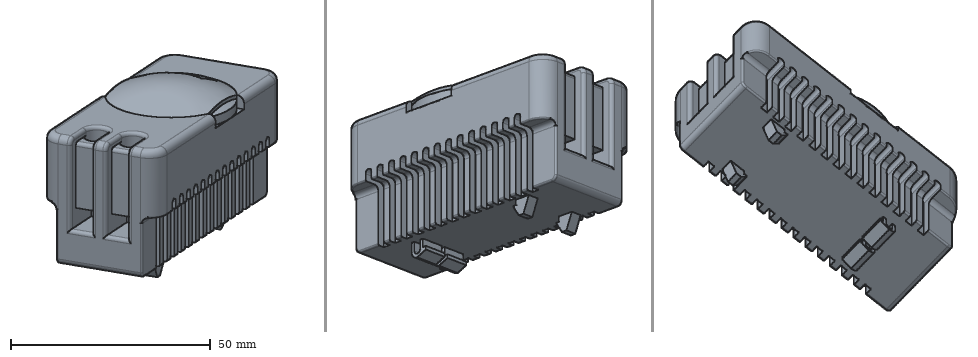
import cadquery as cq
import math

overlap = 1.0

length = 70.0
upper_width = 33.0
lower_width = 24.0
top_z = 34.0
shoulder_z = 16.0
corner_radius = 5.0
top_round = 2.0
shoulder_edge_round = 0.4
shoulder_fillet = 1.4
lower_edge_round = 0.5
end_bottom_round = 1.5

wheel_y = 5.0
wheel_radius = 16.5
dome_height = 4.0
cover_thickness = 1.0
wheel_bottom_z = 30.5
cover_half_width = 14.5
dome_radius = (wheel_radius**2 + dome_height**2) / (2 * dome_height)
dome_top_z = top_z + dome_height

window_inner_radius = 9.0
window_outer_radius = 13.6
window_half_angle = 30.5
pointer_width = 1.0
pointer_length = 0.5

slot_spacing = 10.0
slot_width = 6.0
slot_xs = (-slot_spacing / 2, slot_spacing / 2)
slot_floor_z = 9.7
slot_centre_y = -26.5
slot_mouth_round = 1.0
terminal_front_y = -32.0
terminal_bottom_z = 14.6
terminal_top_z = 32.0
terminal_round = 1.0

vent_count = 14
vent_pitch = 4.0
vent_width = 2.0
vent_top_z = 19.0
vent_depth = 2.0

clip_depth = 4.5
spring_inner_x = 0.5
spring_outer_x = 7.25
hook_inner_x = 6.1
hook_outer_x = 9.3
spring_y = 18.0
spring_outer_radius = 2.0
spring_inner_radius = 1.0
spring_barb_reach = 1.0
spring_barb_top_z = -2.25
spring_barb_bottom_z = -3.25
hook_root_y = -23.0
hook_toe_back_y = -21.1
hook_toe_front_y = -19.5
hook_shank_y = -18.5
hook_barb_y = -17.6
hook_barb_top_z = -1.45
hook_barb_bottom_z = -1.7


def block(x0, x1, y0, y1, z0, z1):
    """Box between two opposite corners."""
    return cq.Workplane("XY").box(x1 - x0, y1 - y0, z1 - z0, centered=False).translate((x0, y0, z0))


def rounded_plan(z0, z1):
    """Upper outline with its four round corners."""
    plan = cq.Workplane("XY").workplane(offset=z0).rect(upper_width, length).extrude(z1 - z0)
    return plan.edges("|Z").fillet(corner_radius)


def make_upper():
    upper = rounded_plan(shoulder_z, top_z)
    return upper.faces(">Z").edges().fillet(top_round).faces("<Z").edges().fillet(shoulder_edge_round)


def make_lower():
    half = lower_width / 2
    lower = block(-half, half, -length / 2, length / 2, 0, shoulder_z + overlap)
    lower = lower.faces("<Z").edges("|X").fillet(end_bottom_round)
    return lower.faces(">X or <X").edges("not >Z").fillet(lower_edge_round)


def make_shoulder_fillet(side):
    """Concave strip between the lower wall and the shoulder, on side -1 or +1."""
    wall = lower_width / 2
    r = shoulder_fillet
    mid = r * (1 - math.sqrt(0.5))
    strip = (
        cq.Workplane("XZ")
        .moveTo(side * (wall - lower_edge_round), shoulder_z - r)
        .lineTo(side * wall, shoulder_z - r)
        .threePointArc((side * (wall + mid), shoulder_z - mid), (side * (wall + r), shoulder_z))
        .lineTo(side * (wall + r), shoulder_z + overlap)
        .lineTo(side * (wall - lower_edge_round), shoulder_z + overlap)
        .close()
        .extrude(length / 2, both=True)
    )
    return strip.intersect(rounded_plan(0, top_z - top_round))


def make_terminal_slot(x):
    """Round-ended channel, open to the top and front, squared off below the terminal."""
    half = slot_width / 2
    channel = block(x - half, x + half, -length, slot_centre_y, slot_floor_z, dome_top_z)
    wire_pocket = block(x - half, x + half, -length, slot_centre_y + half, slot_floor_z, terminal_bottom_z)
    round_end = (
        cq.Workplane("XY", origin=(x, slot_centre_y, slot_floor_z))
        .circle(half)
        .extrude(dome_top_z - slot_floor_z)
    )
    return channel.union(round_end).union(wire_pocket)


def on_slot_mouth(edge, x):
    """True for an edge where the slot at x breaks through the outer surface."""
    box = edge.BoundingBox()
    half = slot_width / 2
    tol = 0.01
    in_width = box.xmin > x - half - tol and box.xmax < x + half + tol
    in_front = box.ymax < slot_centre_y + half + tol
    above_floor = box.zmin > slot_floor_z - tol
    outside = box.zmin > top_z - top_round - tol or box.ymax < top_round - length / 2 + tol
    return in_width and in_front and above_floor and outside


def cut_terminal_slots(body):
    for x in slot_xs:
        body = body.cut(make_terminal_slot(x))
    for x in slot_xs:
        mouth = [edge for edge in body.edges().vals() if on_slot_mouth(edge, x)]
        body = body.newObject(mouth).fillet(slot_mouth_round)
    return body


def make_terminal(x):
    """Terminal block inside a slot, with a round screw shaft behind it."""
    half = slot_width / 2
    terminal = block(x - half, x + half, terminal_front_y, slot_centre_y, terminal_bottom_z, terminal_top_z)
    terminal = terminal.edges("<Y and >Z").fillet(terminal_round)
    shaft = cq.Workplane("XY", origin=(x, slot_centre_y, 0)).circle(half).extrude(top_z)
    return terminal.cut(shaft)


def make_vent(y, side):
    """One round-topped groove, open at the bottom."""
    half = vent_width / 2
    floor_x = side * (lower_width / 2 - vent_depth)
    spring_line = vent_top_z - half
    return (
        cq.Workplane("YZ", origin=(floor_x, y, 0))
        .moveTo(-half, -overlap)
        .lineTo(-half, spring_line)
        .threePointArc((0, vent_top_z), (half, spring_line))
        .lineTo(half, -overlap)
        .close()
        .extrude(side * upper_width)
    )


def make_dome(base_z, dome_top):
    """Round disc of the wheel radius whose top is part of a sphere."""
    return (
        cq.Workplane("XZ", origin=(0, wheel_y, 0))
        .moveTo(0, base_z)
        .lineTo(wheel_radius, base_z)
        .lineTo(wheel_radius, dome_top - dome_height)
        .radiusArc((0, dome_top), -dome_radius)
        .close()
        .revolve(360, (0, 0, 0), (0, 1, 0))
    )


def make_wheel():
    return make_dome(wheel_bottom_z, dome_top_z - cover_thickness)


def make_window():
    """Ring sector with a small pointer notch, reaching down to the wheel."""
    angle = math.radians(window_half_angle)
    across = math.sin(angle)
    along = math.cos(angle)
    inner = window_inner_radius
    outer = window_outer_radius
    plane = cq.Workplane("XY", origin=(0, wheel_y, top_z))
    sector = (
        plane.moveTo(-inner * across, inner * along)
        .threePointArc((0, inner), (inner * across, inner * along))
        .lineTo(outer * across, outer * along)
        .threePointArc((0, outer), (-outer * across, outer * along))
        .close()
        .extrude(dome_height)
    )
    pointer = plane.center(0, outer).rect(pointer_width, 2 * pointer_length).extrude(dome_height)
    return sector.union(pointer)


def make_cover():
    cover = make_dome(top_z - cover_thickness, dome_top_z)
    trim = block(-cover_half_width, cover_half_width, -length, length, 0, dome_top_z + overlap)
    return cover.intersect(trim).cut(make_window())


def make_rim_notch(side):
    """Opening in the side wall that exposes the wheel rim."""
    half_chord = math.sqrt(wheel_radius**2 - cover_half_width**2)
    x0, x1 = sorted((side * cover_half_width, side * upper_width))
    return block(x0, x1, wheel_y - half_chord, wheel_y + half_chord, wheel_bottom_z, dome_top_z)


def extrude_clip(profile, x0, x1, side):
    """Extrude a clip outline, drawn in Y and Z, from x0 to x1 on one side."""
    return profile(cq.Workplane("YZ", origin=(side * x0, 0, 0))).extrude(side * (x1 - x0))


def spring_outline(plane):
    """U-shaped spring leg with a barb on its front."""
    axis_z = spring_outer_radius - clip_depth
    back = spring_y + spring_outer_radius
    front = spring_y - spring_outer_radius
    barb = front - spring_barb_reach
    inner_back = spring_y + spring_inner_radius
    inner_front = spring_y - spring_inner_radius
    return (
        plane.moveTo(back, overlap)
        .lineTo(back, axis_z)
        .radiusArc((spring_y, -clip_depth), spring_outer_radius)
        .lineTo(barb, spring_barb_bottom_z)
        .lineTo(barb, spring_barb_top_z)
        .lineTo(front, spring_barb_top_z)
        .lineTo(front, overlap)
        .lineTo(inner_front, overlap)
        .lineTo(inner_front, axis_z)
        .threePointArc((spring_y, axis_z - spring_inner_radius), (inner_back, axis_z))
        .lineTo(inner_back, overlap)
        .close()
    )


def hook_outline(plane):
    """Solid hook whose barb faces the spring clip."""
    return plane.polyline(
        [
            (hook_root_y, 0),
            (hook_toe_back_y, -clip_depth),
            (hook_toe_front_y, -clip_depth),
            (hook_barb_y, hook_barb_bottom_z),
            (hook_barb_y, hook_barb_top_z),
            (hook_shank_y, hook_barb_top_z),
            (hook_shank_y, 0),
        ]
    ).close()


body = make_upper().union(make_lower())
body = cut_terminal_slots(body)

for x in slot_xs:
    body = body.union(make_terminal(x))

for side in (-1, 1):
    body = body.union(make_shoulder_fillet(side))
    body = body.cut(make_rim_notch(side))
    for index in range(vent_count):
        vent_y = (index - (vent_count - 1) / 2) * vent_pitch
        body = body.cut(make_vent(vent_y, side))

body = body.union(make_wheel()).union(make_cover())

for side in (-1, 1):
    body = body.union(extrude_clip(spring_outline, spring_inner_x, spring_outer_x, side))
    body = body.union(extrude_clip(hook_outline, hook_inner_x, hook_outer_x, side))

result = body